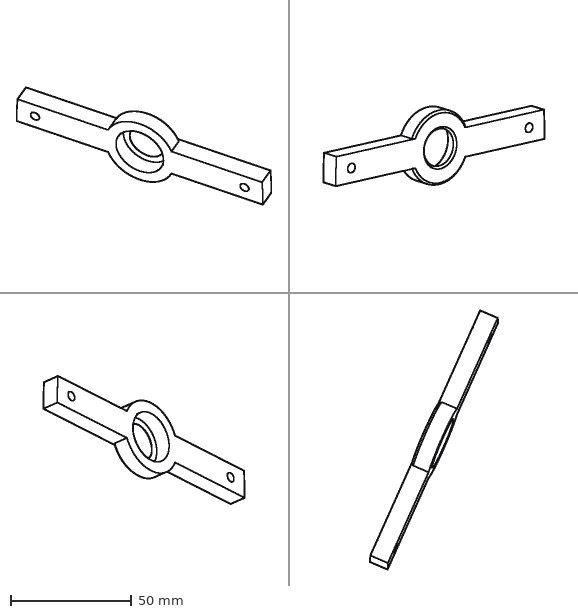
import cadquery as cq

length = 114.0
thickness = 8.0
ring_diameter = 32.0
arm_height = 12.7

end_taper = 0.35

ring_chamfer = 1.0

seat_diameter = 22.0
lip_diameter = 16.0
lip_thickness = 1.0
lip_flare_angle = 45.0

hole_diameter = 4.0
hole_spacing = 97.0

front_y = -thickness / 2
seat_depth = thickness - lip_thickness


def front_plane(x=0.0):
    """Sketch plane on the front face, centred at the given X."""
    return cq.Workplane("XZ", origin=(x, front_y, 0))


def disc(diameter, depth, x=0.0):
    """Cylinder along +Y that starts at the front face."""
    return front_plane(x).circle(diameter / 2).extrude(-depth)


def make_arms():
    """Straight bar through the ring; its ends are upright below and taper above mid-height."""
    half_length = length / 2
    half_height = arm_height / 2
    top_half_length = half_length - end_taper
    outline = [
        (-half_length, -half_height),
        (half_length, -half_height),
        (half_length, 0),
        (top_half_length, half_height),
        (-top_half_length, half_height),
        (-half_length, 0),
    ]
    return front_plane().polyline(outline).close().extrude(-thickness)


def make_ring():
    """Ring blank, chamfered around its back rim."""
    return disc(ring_diameter, thickness).faces(">Y").edges().chamfer(ring_chamfer)


def cut_bore(body):
    """Seat open to the front, then a conical opening through the back lip."""
    seat = disc(seat_diameter, seat_depth)
    lip_plane = front_plane().workplane(offset=-seat_depth)
    lip_opening = lip_plane.circle(lip_diameter / 2).extrude(-lip_thickness, taper=-lip_flare_angle)
    return body.cut(seat).cut(lip_opening)


def cut_arm_holes(body):
    """One through hole near the end of each arm."""
    for side in (-1, 1):
        body = body.cut(disc(hole_diameter, thickness, side * hole_spacing / 2))
    return body


body = make_arms().union(make_ring())
result = cut_arm_holes(cut_bore(body))